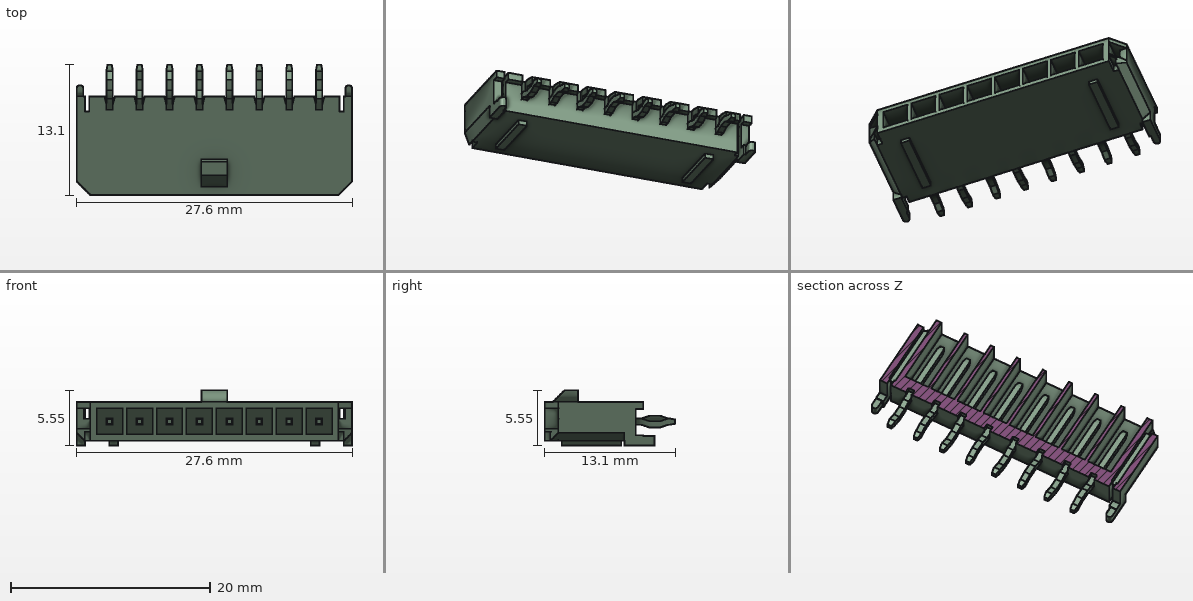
import cadquery as cq


PIN_COUNT = 8
ROW_SPAN = 21.01
PITCH = ROW_SPAN / (PIN_COUNT - 1)

LENGTH = 27.65
HEIGHT = 3.93
WALL_BACK = 9.15
BOARD_PLANE = 9.9
FLANGE_BOTTOM = 3.18
BASE_EDGE_CHAMFER = 0.83

POCKET_SIZE = 2.6
POCKET_DEPTH = 7.47
POCKET_Z = HEIGHT / 2

CORNER_X = 1.38
CORNER_Y = 1.38
RECESS_BOTTOM = 1.25
RECESS_TOP = 3.25
TUNNEL_INSET = 0.72
TUNNEL_BOTTOM = 2.25
CORNER_NOTCH_HEIGHT = 0.95

LUG_WIDTH = 0.85
LUG_SLOT_WIDTH = 0.41
LUG_SLOT_START = 8.4
LUG_START = 8.0
LUG_TOP = 0.58
FOOT_DROP = 0.47
TONGUE_WIDTH = 0.7
TONGUE_TOP = 0.5
TONGUE_END = 11.03

RIB_WIDTH = 0.9
RIB_SPACING = 20.2
RIB_START = 1.7
RIB_END = 7.7

LATCH_WIDTH = 2.6
LATCH_HEIGHT = 1.15
LATCH_FRONT = 0.83
LATCH_CREST = 2.0
LATCH_BACK = 3.35
GROOVE_BACK = 3.6
GROOVE_DEPTH = 0.15

PIN_SIZE = 0.64
PIN_Z = 1.94
PIN_FRONT = 2.2
PIN_BACK = 13.08
PIN_TAPER_LENGTH = 0.5
PIN_TIP_SIZE = 0.45
KINK_OFFSET = 0.28
KINK_START = 9.68
KINK_CREST_START = 10.5
KINK_CREST_END = 11.59
KINK_END = 12.41

PIN_SLOT_START = 8.57
V_NOTCH_WIDTH = 1.02

HALF_LENGTH = LENGTH / 2
PIN_POSITIONS = [i * PITCH - ROW_SPAN / 2 for i in range(PIN_COUNT)]


def block(x_range, y_range, z_range):
    """Box between two limits on each axis."""
    corners = list(zip(x_range, y_range, z_range))
    sizes = [high - low for low, high in zip(*corners)]
    return cq.Workplane("XY").box(*sizes, centered=False).translate(corners[0])


def both_ends(shape):
    """A shape at the -X end together with its mirror image at the +X end."""
    return shape.union(shape.mirror("YZ"))


def make_shell():
    """Main block with bevelled mating corners, bevelled base edges and a top flange at the back."""
    shell = (
        cq.Workplane("XY")
        .moveTo(-HALF_LENGTH, BOARD_PLANE)
        .lineTo(-HALF_LENGTH, CORNER_Y)
        .lineTo(-HALF_LENGTH + CORNER_X, 0)
        .lineTo(HALF_LENGTH - CORNER_X, 0)
        .lineTo(HALF_LENGTH, CORNER_Y)
        .lineTo(HALF_LENGTH, BOARD_PLANE)
        .close()
        .extrude(HEIGHT)
    )
    under_flange = block((-HALF_LENGTH, HALF_LENGTH), (WALL_BACK, BOARD_PLANE), (0, FLANGE_BOTTOM))
    base_bevel = (
        cq.Workplane("XZ")
        .moveTo(-HALF_LENGTH, 0)
        .lineTo(-HALF_LENGTH + BASE_EDGE_CHAMFER, 0)
        .lineTo(-HALF_LENGTH, BASE_EDGE_CHAMFER)
        .close()
        .extrude(-LUG_START)
    )
    return shell.cut(under_flange).cut(both_ends(base_bevel))


def make_end_lug():
    """Foot block at the -X end with a round-ended tongue beyond the board plane."""
    lug = block(
        (-HALF_LENGTH, -HALF_LENGTH + LUG_WIDTH), (LUG_START, BOARD_PLANE), (-FOOT_DROP, LUG_TOP)
    )
    round_radius = TONGUE_WIDTH / 2
    tongue = (
        cq.Workplane("XY")
        .workplane(offset=-FOOT_DROP)
        .moveTo(-HALF_LENGTH, LUG_START)
        .lineTo(-HALF_LENGTH + TONGUE_WIDTH, LUG_START)
        .lineTo(-HALF_LENGTH + TONGUE_WIDTH, TONGUE_END - round_radius)
        .threePointArc(
            (-HALF_LENGTH + round_radius, TONGUE_END), (-HALF_LENGTH, TONGUE_END - round_radius)
        )
        .close()
        .extrude(FOOT_DROP + TONGUE_TOP)
    )
    return lug.union(tongue)


def make_rib():
    """Rib under the base near the -X end."""
    rib_left = -(RIB_SPACING + RIB_WIDTH) / 2
    return block((rib_left, rib_left + RIB_WIDTH), (RIB_START, RIB_END), (-FOOT_DROP, 0))


def make_end_openings():
    """Corner recess, corner notch, tunnel and lug slot at the -X end."""
    corner_inner = -HALF_LENGTH + CORNER_X
    lug_inner = -HALF_LENGTH + LUG_WIDTH
    bevel_inner = -HALF_LENGTH + BASE_EDGE_CHAMFER
    recess = block((-HALF_LENGTH, corner_inner), (0, CORNER_Y), (RECESS_BOTTOM, RECESS_TOP))
    notch = block((bevel_inner, corner_inner), (0, CORNER_Y), (0, CORNER_NOTCH_HEIGHT))
    tunnel = block(
        (-HALF_LENGTH + TUNNEL_INSET, corner_inner),
        (CORNER_Y, LUG_SLOT_START),
        (TUNNEL_BOTTOM, RECESS_TOP),
    )
    lug_slot = block(
        (lug_inner, lug_inner + LUG_SLOT_WIDTH), (LUG_SLOT_START, BOARD_PLANE), (-FOOT_DROP, HEIGHT)
    )
    return recess.union(notch).union(tunnel).union(lug_slot)


def make_latch():
    """Ramp that the mating plug snaps over."""
    return (
        cq.Workplane("YZ")
        .moveTo(LATCH_FRONT, HEIGHT)
        .lineTo(LATCH_BACK, HEIGHT)
        .lineTo(LATCH_BACK, HEIGHT + LATCH_HEIGHT)
        .lineTo(LATCH_CREST, HEIGHT + LATCH_HEIGHT)
        .close()
        .extrude(LATCH_WIDTH / 2, both=True)
    )


def make_latch_groove():
    """Groove behind the latch, its floor sloping down toward the board side."""
    return (
        cq.Workplane("YZ")
        .moveTo(LATCH_BACK, HEIGHT)
        .lineTo(GROOVE_BACK, HEIGHT)
        .lineTo(GROOVE_BACK, HEIGHT - GROOVE_DEPTH)
        .close()
        .extrude(LATCH_WIDTH / 2, both=True)
    )


def make_pocket():
    """Square pocket around one contact."""
    half = POCKET_SIZE / 2
    return block((-half, half), (0, POCKET_DEPTH), (POCKET_Z - half, POCKET_Z + half))


def make_pin_slot():
    """Slot above one pin, flaring into a V through the back flange."""
    half = PIN_SIZE / 2
    slot = block((-half, half), (PIN_SLOT_START, BOARD_PLANE), (PIN_Z - half, HEIGHT))
    v_notch = (
        cq.Workplane("XY")
        .workplane(offset=FLANGE_BOTTOM)
        .moveTo(-half, WALL_BACK)
        .lineTo(half, WALL_BACK)
        .lineTo(V_NOTCH_WIDTH / 2, BOARD_PLANE)
        .lineTo(-V_NOTCH_WIDTH / 2, BOARD_PLANE)
        .close()
        .extrude(HEIGHT - FLANGE_BOTTOM)
    )
    return slot.union(v_notch)


def make_pin_hole():
    """Square hole that one pin passes through."""
    half = PIN_SIZE / 2
    return block((-half, half), (POCKET_DEPTH, WALL_BACK), (PIN_Z - half, PIN_Z + half))


def make_housing():
    """Housing with its lugs, ribs, latch and an opening for every contact."""
    housing = make_shell().union(both_ends(make_end_lug())).union(both_ends(make_rib()))
    housing = housing.cut(both_ends(make_end_openings()))
    housing = housing.union(make_latch()).cut(make_latch_groove())
    contact_opening = make_pocket().union(make_pin_slot()).union(make_pin_hole())
    for x in PIN_POSITIONS:
        housing = housing.cut(contact_opening.translate((x, 0, 0)))
    return housing


def make_pin_tip(base_y, direction):
    """Tapered end of a pin, pointing to +Y (direction 1) or -Y (direction -1)."""
    return (
        cq.Workplane("XZ", origin=(0, base_y, PIN_Z))
        .rect(PIN_SIZE, PIN_SIZE)
        .workplane(offset=-direction * PIN_TAPER_LENGTH)
        .rect(PIN_TIP_SIZE, PIN_TIP_SIZE)
        .loft(ruled=True)
    )


def make_pin(kink):
    """Square pin along Y whose tail is kinked by the signed height `kink`."""
    shaft_front = PIN_FRONT + PIN_TAPER_LENGTH
    shaft_back = PIN_BACK - PIN_TAPER_LENGTH
    centre_line = [
        (shaft_front, 0),
        (KINK_START, 0),
        (KINK_CREST_START, kink),
        (KINK_CREST_END, kink),
        (KINK_END, 0),
        (shaft_back, 0),
    ]
    lower_edge = [(y, PIN_Z + rise - PIN_SIZE / 2) for y, rise in centre_line]
    upper_edge = [(y, PIN_Z + rise + PIN_SIZE / 2) for y, rise in centre_line]
    shaft = (
        cq.Workplane("YZ")
        .polyline(lower_edge + upper_edge[::-1])
        .close()
        .extrude(PIN_SIZE / 2, both=True)
    )
    return shaft.union(make_pin_tip(shaft_front, -1)).union(make_pin_tip(shaft_back, 1))


housing = make_housing()

pins = []
for index, x in enumerate(PIN_POSITIONS):
    kink = KINK_OFFSET if index % 2 == 0 else -KINK_OFFSET
    pins.append(make_pin(kink).translate((x, 0, 0)))

result = cq.Compound.makeCompound([housing.val(), *[pin.val() for pin in pins]])